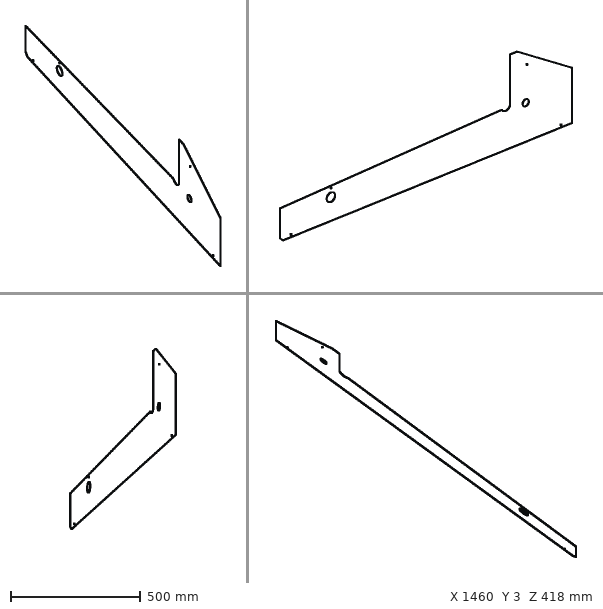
import cadquery as cq
import math

length = 1460.0
height = 418.0
thickness = 3.0

left_edge_height = 148.0
right_edge_height = 246.0
wall_x = 1150.0
top_flat_length = 35.0
corner_chamfer = 15.0
arm_slope = 0.0344

relief_radius = 22.0
relief_center_x = wall_x - relief_radius
relief_center_z = 196.0

arm_hole_diameter = 42.0
arm_hole = (255.0, 106.0)
head_hole_diameter = 31.0
head_hole = (1228.0, 174.0)
small_hole_diameter = 5.0
small_hole_inset = 56.0
small_hole_height = 12.0
arm_small_hole_height = 147.0
head_small_hole = (1234.0, 342.5)
small_holes = [
    (small_hole_inset, small_hole_height),
    (length - small_hole_inset, small_hole_height),
    (arm_hole[0], arm_small_hole_height),
    head_small_hole,
]


def relief_start():
    """Left crossing of the arm's sloping upper edge with the relief circle."""
    drop = left_edge_height + arm_slope * relief_center_x - relief_center_z
    a = 1 + arm_slope**2
    b = arm_slope * drop
    c = drop**2 - relief_radius**2
    x = relief_center_x + (-b - math.sqrt(b**2 - a * c)) / a
    return x, left_edge_height + arm_slope * x


def plate():
    """Flat plate with a tapering arm and a raised end."""
    return (
        cq.Workplane("XZ")
        .moveTo(corner_chamfer, 0)
        .lineTo(length, 0)
        .lineTo(length, right_edge_height)
        .lineTo(wall_x + top_flat_length, height)
        .lineTo(wall_x, height)
        .lineTo(wall_x, relief_center_z)
        .threePointArc((relief_center_x, relief_center_z - relief_radius), relief_start())
        .lineTo(0, left_edge_height)
        .lineTo(0, corner_chamfer)
        .close()
        .extrude(thickness)
    )


def drill(body, centers, diameter):
    """Cut round holes through the full thickness."""
    pins = cq.Workplane("XZ").pushPoints(centers).circle(diameter / 2).extrude(thickness)
    return body.cut(pins)


result = plate()
result = drill(result, [arm_hole], arm_hole_diameter)
result = drill(result, [head_hole], head_hole_diameter)
result = drill(result, small_holes, small_hole_diameter)